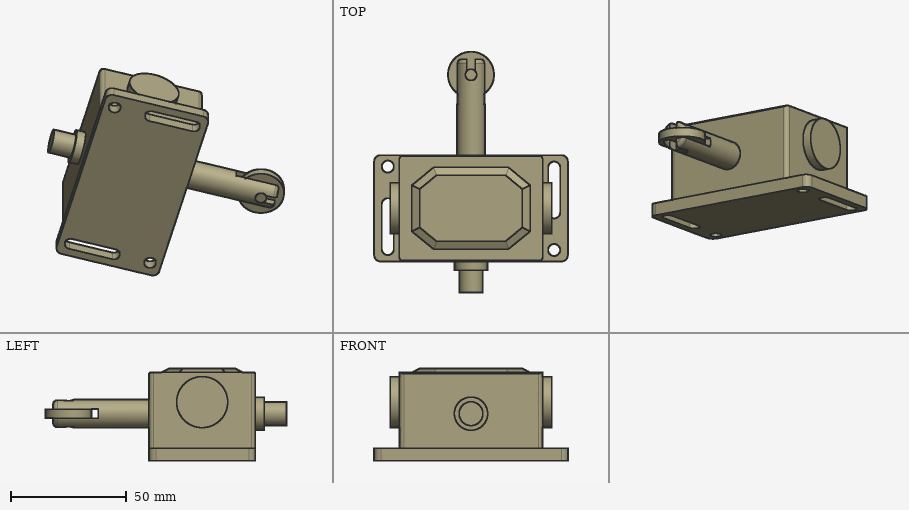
import cadquery as cq
import math

plate_length = 84.0
plate_width = 46.1
plate_height = 5.5
plate_corner_radius = 2.9
mount_x = 36.0
mount_hole_y = 18.0
mount_slot_y = 7.9
mount_slot_length = 24.5
mount_diameter = 5.1

total_height = 40.0
lid_height = 1.8
housing_length = 62.0
housing_top = total_height - lid_height
housing_corner_radius = 1.9
housing_top_chamfer = 0.5
lid_length = 51.2
lid_width = 35.4
lid_corner_x = 9.4
lid_corner_y = 7.7
lid_bevel = 3.4

cap_radius = 11.1
cap_thickness = 4.1
cap_z = 25.5

axis_z = 20.4
back_y = plate_width / 2
front_y = -plate_width / 2
collar_radius = 7.2
collar_length = 3.9
stem_radius = 5.16

total_depth = 104.3
roller_radius = 10.0
roller_thickness = 3.9
roller_y = 57.8
stem_length = total_depth - roller_y - roller_radius - plate_width / 2 - collar_length
arm_radius = 6.2
arm_tip_y = 64.6
arm_tip_fillet = 1.9
fork_slot_y = 45.1
tip_notch_width = 3.7
pin_radius = 2.45
pin_length = 11.4


def make_plate():
    """Rounded plate with a round hole and a slot at each end, in opposite order."""
    plate = (
        cq.Workplane("XY")
        .rect(plate_length, plate_width)
        .extrude(plate_height)
        .edges("|Z")
        .fillet(plate_corner_radius)
    )
    for side in (-1, 1):
        hole = (
            cq.Workplane("XY")
            .center(side * mount_x, -side * mount_hole_y)
            .circle(mount_diameter / 2)
            .extrude(plate_height)
        )
        slot = (
            cq.Workplane("XY")
            .center(side * mount_x, side * mount_slot_y)
            .slot2D(mount_slot_length, mount_diameter, 90)
            .extrude(plate_height)
        )
        plate = plate.cut(hole).cut(slot)
    return plate


def make_housing():
    """Block with its long top edges chamfered, then its vertical corners rounded."""
    housing_height = housing_top - plate_height
    block = (
        cq.Workplane("XY", origin=(0, 0, plate_height))
        .rect(housing_length, plate_width)
        .extrude(housing_height)
    )
    rounded_block = block.edges("|Z").fillet(housing_corner_radius)
    chamfered_block = block.faces(">Z").edges("|X").chamfer(housing_top_chamfer)
    return chamfered_block.intersect(rounded_block)


def make_lid():
    """Eight-sided plate whose sides slope inward by the bevel width."""
    half_length = lid_length / 2
    half_width = lid_width / 2
    short_x = half_length - lid_corner_x
    short_y = half_width - lid_corner_y
    outline = [
        (half_length, -short_y),
        (half_length, short_y),
        (short_x, half_width),
        (-short_x, half_width),
        (-half_length, short_y),
        (-half_length, -short_y),
        (-short_x, -half_width),
        (short_x, -half_width),
    ]
    bevel_angle = math.degrees(math.atan2(lid_bevel, lid_height))
    return (
        cq.Workplane("XY", origin=(0, 0, housing_top))
        .polyline(outline)
        .close()
        .extrude(lid_height, taper=bevel_angle)
    )


def make_cap(side):
    """Disc on the -X (side = -1) or +X (side = 1) end of the housing."""
    return (
        cq.Workplane("YZ", origin=(side * housing_length / 2, 0, cap_z))
        .circle(cap_radius)
        .extrude(side * cap_thickness)
    )


def make_gland():
    """Collar and narrower stem standing out from the front of the housing."""
    return (
        cq.Workplane("XZ", origin=(0, front_y, axis_z))
        .circle(collar_radius)
        .extrude(collar_length)
        .faces("<Y")
        .workplane()
        .circle(stem_radius)
        .extrude(stem_length)
    )


def make_pivot_cylinder(radius, length):
    """Vertical cylinder on the roller axis, centred on the arm axis."""
    return (
        cq.Workplane("XY", origin=(0, roller_y, axis_z - length / 2))
        .circle(radius)
        .extrude(length)
    )


def make_arm():
    """Round arm with a rounded tip, forked for the roller and bored for the pin."""
    arm = (
        cq.Workplane("XZ", origin=(0, back_y, axis_z))
        .circle(arm_radius)
        .extrude(back_y - arm_tip_y)
        .faces(">Y")
        .edges()
        .fillet(arm_tip_fillet)
    )
    fork_slot_length = arm_tip_y - fork_slot_y
    fork_slot = cq.Workplane("XY").box(2 * arm_radius, fork_slot_length, roller_thickness).translate(
        (0, fork_slot_y + fork_slot_length / 2, axis_z)
    )
    tip_notch_length = arm_tip_y - roller_y
    tip_notch = cq.Workplane("XY").box(tip_notch_width, tip_notch_length, 2 * arm_radius).translate(
        (0, roller_y + tip_notch_length / 2, axis_z)
    )
    pin_bore = make_pivot_cylinder(pin_radius, 2 * arm_radius)
    return arm.cut(fork_slot).cut(tip_notch).cut(pin_bore)


def make_pin():
    return make_pivot_cylinder(pin_radius, pin_length)


def make_roller():
    """Disc in the fork, bored to fit the pin."""
    disc = make_pivot_cylinder(roller_radius, roller_thickness)
    return disc.cut(make_pivot_cylinder(pin_radius, roller_thickness))


plate = make_plate()
housing = make_housing()
lid = make_lid()
caps = [make_cap(side) for side in (-1, 1)]
gland = make_gland()
arm = make_arm()
pin = make_pin()
roller = make_roller()

result = cq.Compound.makeCompound(
    [
        plate.val(),
        housing.val(),
        lid.val(),
        *[cap.val() for cap in caps],
        gland.val(),
        arm.val(),
        pin.val(),
        roller.val(),
    ]
)